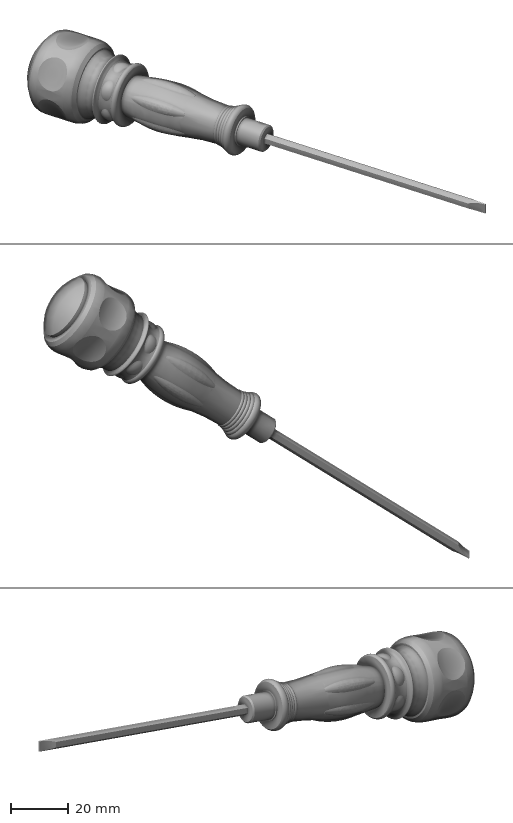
import cadquery as cq
import math


OVERALL_LENGTH = 185.1
DOME_END = 4.0
HEAD_START = 5.5
HEAD_EDGE_WIDTH = 1.2
HEAD_SHOULDER_WIDTH = 4.4
HEAD_END = 25.2
NECK_END = 30.6
NECK_RING_END = 32.9
BAND_END = 37.9
BAND_RING_END = 40.1
GRIP_PEAK = 54.0
BEADS_START = 77.8
FLANGE_START = 82.4
FLANGE_END = 85.3
STEP_END = 85.8
FERRULE_END = 95.3
BLADE_START = 178.9
BLADE_LAND = 0.5

DOME_RADIUS = 11.5
HEAD_RADIUS = 15.25
HEAD_FACE_RADIUS = 13.3
HEAD_EDGE_RADIUS = 14.5
NECK_BIG_RADIUS = 12.6
NECK_SMALL_RADIUS = 11.2
NECK_RING_RADIUS = 12.6
BAND_EDGE_RADIUS = 10.9
BAND_WAIST_RADIUS = 10.4
BAND_RING_RADIUS = 11.55
GRIP_BACK_RADIUS = 7.5
GRIP_PEAK_RADIUS = 9.15
GRIP_FRONT_RADIUS = 7.0
FLANGE_EDGE_RADIUS = 8.4
FLANGE_RADIUS = 9.2
STEP_RADIUS = 5.4
FERRULE_RADIUS = 4.9
FERRULE_CHAMFER = 0.5

ALONG_AXIS = (1, 0)
SHOULDER_RISE = (1, 0.5)
SHOULDER_FALL = (1, -0.5)
NECK_FALL = (1, -0.5)
NECK_RING_RISE = (0.3, 1)
NECK_RING_FALL = (1, -0.7)
GRIP_RISE = (1, 0.15)

BEAD_COUNT = 4
BEAD_HEIGHT = 0.3

REPEATS = 6
HEAD_DIMPLE_HALF_WIDTH = 5.6
HEAD_DIMPLE_DEPTH = 1.2
BUMP_CREST_RADIUS = 11.3
BUMP_SPHERE_RADIUS = 5.1
PAD_START = 44.1
PAD_END = 65.8
PAD_AXIS_RADIUS = 6.9
PAD_CREST_RADIUS = 9.9
PAD_TIP_RADIUS = 8.15

HEX_ACROSS_FLATS = 3.4
TIP_THICKNESS = 0.6


def around_handle(shape):
    """Copies of a shape, built on the +Z side, spaced evenly about the X axis."""
    step = 360 / REPEATS
    return [shape.rotate((0, 0, 0), (1, 0, 0), i * step) for i in range(REPEATS)]


def middle(a, b):
    return (a + b) / 2


def arc_sag_radius(half_chord, sag):
    """Radius of the arc with the given half chord and sag."""
    return (half_chord**2 + sag**2) / (2 * sag)


def point_on_dome():
    """Point halfway along the spherical dome, as (x, radius)."""
    sphere_radius = arc_sag_radius(DOME_RADIUS, DOME_END)
    half_angle = math.asin(DOME_RADIUS / sphere_radius) / 2
    return (sphere_radius * (1 - math.cos(half_angle)), sphere_radius * math.sin(half_angle))


def add_beads(profile):
    """Scalloped beads climbing from the grip to the flange."""
    pitch = (FLANGE_START - BEADS_START) / BEAD_COUNT
    rise = FLANGE_EDGE_RADIUS - GRIP_FRONT_RADIUS

    def base_radius(i):
        return GRIP_FRONT_RADIUS + rise * (i / BEAD_COUNT) ** 2

    for i in range(BEAD_COUNT):
        x = BEADS_START + i * pitch
        crest = middle(base_radius(i), base_radius(i + 1)) + BEAD_HEIGHT
        profile = profile.threePointArc((x + pitch / 2, crest), (x + pitch, base_radius(i + 1)))
    return profile


def turned_handle():
    """Dome, head, neck, rings, grip and ferrule turned about the X axis."""
    profile = (
        cq.Workplane("XZ")
        .moveTo(0, 0)
        .threePointArc(point_on_dome(), (DOME_END, DOME_RADIUS))
        .lineTo(HEAD_START, DOME_RADIUS)
        .lineTo(HEAD_START, HEAD_FACE_RADIUS)
        .lineTo(HEAD_START + HEAD_EDGE_WIDTH, HEAD_EDGE_RADIUS)
        .spline(
            [(HEAD_START + HEAD_SHOULDER_WIDTH, HEAD_RADIUS)],
            tangents=[SHOULDER_RISE, ALONG_AXIS],
            includeCurrent=True,
        )
        .lineTo(HEAD_END - HEAD_SHOULDER_WIDTH, HEAD_RADIUS)
        .spline(
            [(HEAD_END - HEAD_EDGE_WIDTH, HEAD_EDGE_RADIUS)],
            tangents=[ALONG_AXIS, SHOULDER_FALL],
            includeCurrent=True,
        )
        .lineTo(HEAD_END, HEAD_FACE_RADIUS)
        .lineTo(HEAD_END, NECK_BIG_RADIUS)
        .spline(
            [(NECK_END, NECK_SMALL_RADIUS)],
            tangents=[NECK_FALL, ALONG_AXIS],
            includeCurrent=True,
        )
        .spline(
            [(middle(NECK_END, NECK_RING_END), NECK_RING_RADIUS), (NECK_RING_END, BAND_EDGE_RADIUS)],
            tangents=[NECK_RING_RISE, NECK_RING_FALL],
            includeCurrent=True,
        )
        .threePointArc(
            (middle(NECK_RING_END, BAND_END), BAND_WAIST_RADIUS),
            (BAND_END, BAND_EDGE_RADIUS),
        )
        .threePointArc(
            (middle(BAND_END, BAND_RING_END), BAND_RING_RADIUS),
            (BAND_RING_END, BAND_EDGE_RADIUS),
        )
        .lineTo(BAND_RING_END, GRIP_BACK_RADIUS)
        .spline(
            [(GRIP_PEAK, GRIP_PEAK_RADIUS), (BEADS_START, GRIP_FRONT_RADIUS)],
            tangents=[GRIP_RISE, ALONG_AXIS],
            includeCurrent=True,
        )
    )
    profile = (
        add_beads(profile)
        .threePointArc(
            (middle(FLANGE_START, FLANGE_END), FLANGE_RADIUS),
            (FLANGE_END, FLANGE_EDGE_RADIUS),
        )
        .lineTo(FLANGE_END, STEP_RADIUS)
        .lineTo(STEP_END, STEP_RADIUS)
        .lineTo(STEP_END, FERRULE_RADIUS)
        .lineTo(FERRULE_END - FERRULE_CHAMFER, FERRULE_RADIUS)
        .lineTo(FERRULE_END, FERRULE_RADIUS - FERRULE_CHAMFER)
        .lineTo(FERRULE_END, 0)
        .close()
    )
    return profile.revolve(360, (0, 0, 0), (1, 0, 0))


def head_dimple():
    """Cylinder lying across the head that hollows one finger dimple."""
    radius = arc_sag_radius(HEAD_DIMPLE_HALF_WIDTH, HEAD_DIMPLE_DEPTH)
    center_height = HEAD_RADIUS - HEAD_DIMPLE_DEPTH + radius
    return (
        cq.Workplane("XZ")
        .center(middle(HEAD_START, HEAD_END), center_height)
        .circle(radius)
        .extrude(HEAD_RADIUS, both=True)
    )


def band_bump():
    """Ball that stands out of the band as one rounded bump."""
    center_height = BUMP_CREST_RADIUS - BUMP_SPHERE_RADIUS
    ball_size = 2 * BUMP_SPHERE_RADIUS
    ball = cq.Workplane("XY").sphere(BUMP_SPHERE_RADIUS)
    slab = cq.Workplane("XY").box(BAND_END - NECK_RING_END, ball_size, ball_size)
    return ball.intersect(slab).translate((middle(NECK_RING_END, BAND_END), 0, center_height))


def grip_pad():
    """Spindle along the grip that stands out as one long raised pad."""
    return (
        cq.Workplane("XZ")
        .moveTo(PAD_START, PAD_AXIS_RADIUS)
        .lineTo(PAD_START, PAD_TIP_RADIUS)
        .threePointArc((middle(PAD_START, PAD_END), PAD_CREST_RADIUS), (PAD_END, PAD_TIP_RADIUS))
        .lineTo(PAD_END, PAD_AXIS_RADIUS)
        .close()
        .revolve(360, (PAD_START, PAD_AXIS_RADIUS, 0), (PAD_END, PAD_AXIS_RADIUS, 0))
    )


def hex_bit():
    """Hexagonal shaft with corners up and down, hollow-ground to a flat blade."""
    across_corners = HEX_ACROSS_FLATS / math.cos(math.pi / 6)
    shaft = (
        cq.Workplane("YZ", origin=(STEP_END, 0, 0))
        .transformed(rotate=(0, 0, 90))
        .polygon(6, across_corners)
        .extrude(OVERALL_LENGTH - STEP_END)
    )
    land_start = OVERALL_LENGTH - BLADE_LAND
    half_flats = HEX_ACROSS_FLATS / 2
    half_tip = TIP_THICKNESS / 2
    grind = (
        cq.Workplane("XY")
        .moveTo(OVERALL_LENGTH, half_tip)
        .lineTo(land_start, half_tip)
        .tangentArcPoint((BLADE_START, half_flats), relative=False)
        .lineTo(OVERALL_LENGTH, half_flats)
        .close()
        .extrude(across_corners, both=True)
    )
    return shaft.cut(grind).cut(grind.mirror("XZ"))


handle = turned_handle()
for dimple in around_handle(head_dimple()):
    handle = handle.cut(dimple)
for raised in around_handle(band_bump()) + around_handle(grip_pad()):
    handle = handle.union(raised)

result = handle.union(hex_bit())